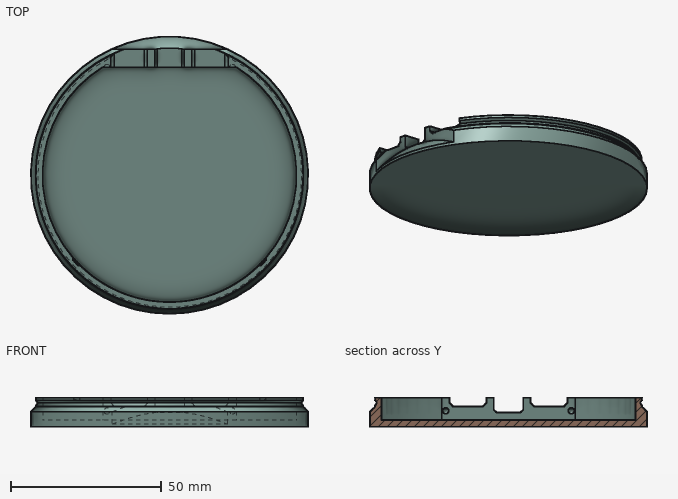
import cadquery as cq

outer_radius = 46.2
total_height = 9.8

shoulder_height = 5.1
band_radius = 44.6
band_bottom = 6.7
band_top = 6.95
neck_radius = 43.9
neck_height = 8.0
lip_radius = 44.5
lip_bottom = 8.9

recess_radius = 42.3
recess_floor = 2.4
wall_inner_y = 36.0
wall_outer_y = 42.0

skirt_edge_height = 1.0

side_notch_inner_x = 7.35
side_notch_outer_x = 19.6
side_notch_floor = 6.9
side_notch_chamfer_width = 1.13
side_notch_chamfer_height = 1.2
center_notch_half_width = 4.85
center_notch_floor = 4.9
center_notch_chamfer = 0.8

dimple_x = 20.9
dimple_height = 5.4
dimple_radius = 1.0

nick_angles = (-43, 180 + 43)
nick_length = 2.9
nick_size = 0.5


def revolved(profile):
    """Solid of revolution about Z from (radius, height) points."""
    return cq.Workplane("XZ").polyline(profile).close().revolve(360, (0, 0, 0), (0, 1, 0))


def make_body():
    return revolved([
        (0, 0),
        (outer_radius, 0),
        (outer_radius, shoulder_height),
        (band_radius, band_bottom),
        (band_radius, band_top),
        (neck_radius, neck_height),
        (lip_radius, lip_bottom),
        (lip_radius, total_height),
        (0, total_height),
    ])


def behind_wall():
    """Block covering everything behind the outer face of the straight wall."""
    depth = outer_radius
    return (
        cq.Workplane("XY")
        .box(2 * outer_radius, depth, total_height, centered=(True, False, False))
        .translate((0, wall_outer_y, 0))
    )


def make_skirt():
    """Part behind the wall of a base disc topped by a 45 degree cone."""
    cone_tip_height = skirt_edge_height + outer_radius
    cone = revolved([
        (0, 0),
        (outer_radius, 0),
        (outer_radius, skirt_edge_height),
        (0, cone_tip_height),
    ])
    return cone.intersect(behind_wall())


def make_recess():
    """Round recess whose back is cut off flat by the straight wall."""
    depth = total_height - recess_floor
    disc = cq.Workplane("XY").workplane(offset=recess_floor).circle(recess_radius).extrude(depth)
    front = (
        cq.Workplane("XY")
        .box(2 * outer_radius, 2 * outer_radius, total_height, centered=(True, False, False))
        .translate((0, wall_inner_y - 2 * outer_radius, 0))
    )
    return disc.intersect(front)


def make_notch(left_x, right_x, floor, chamfer_width, chamfer_height):
    """Notch along Y, open at the top and the back, with chamfered floor corners."""
    return (
        cq.Workplane("XZ", origin=(0, wall_inner_y, 0))
        .moveTo(left_x, total_height)
        .lineTo(left_x, floor + chamfer_height)
        .lineTo(left_x + chamfer_width, floor)
        .lineTo(right_x - chamfer_width, floor)
        .lineTo(right_x, floor + chamfer_height)
        .lineTo(right_x, total_height)
        .close()
        .extrude(wall_inner_y - outer_radius)
    )


def make_dimple(x):
    return cq.Workplane("XY").sphere(dimple_radius).translate((x, wall_inner_y, dimple_height))


def make_nick(angle):
    """Triangular prism along the rim that bevels a short piece of its inner edge."""
    inner_x = recess_radius - nick_size
    return (
        cq.Workplane("XZ")
        .moveTo(inner_x, total_height)
        .lineTo(recess_radius + nick_size, total_height)
        .lineTo(inner_x, total_height - 2 * nick_size)
        .close()
        .extrude(nick_length / 2, both=True)
        .rotate((0, 0, 0), (0, 0, 1), angle)
    )


def make_side_notch(left_x):
    right_x = left_x + side_notch_outer_x - side_notch_inner_x
    return make_notch(
        left_x, right_x, side_notch_floor, side_notch_chamfer_width, side_notch_chamfer_height
    )


def make_center_notch():
    return make_notch(
        -center_notch_half_width,
        center_notch_half_width,
        center_notch_floor,
        center_notch_chamfer,
        center_notch_chamfer,
    )


result = make_body().cut(behind_wall()).union(make_skirt()).cut(make_recess())
result = result.cut(make_center_notch())
for left_x in (-side_notch_outer_x, side_notch_inner_x):
    result = result.cut(make_side_notch(left_x))
for x in (-dimple_x, dimple_x):
    result = result.cut(make_dimple(x))
for angle in nick_angles:
    result = result.cut(make_nick(angle))